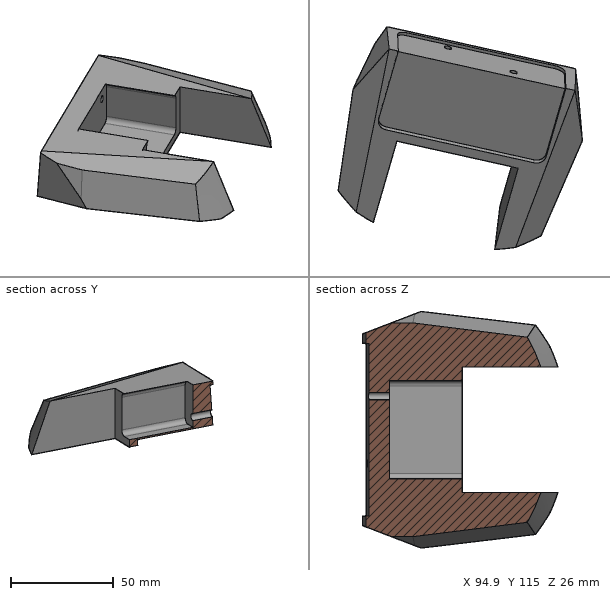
import cadquery as cq
import math

length = 94.9
half_width = 57.5
height = 26.0
oversize = 229.9

rear_lean = 2.0
rear_half_width = 46.5
rear_top_half_width = 46.1

cone_center_x = 1.1
arm_top_x = 84.7
arm_inner_y = 30.3

notch_x = 48.5
pocket_x = 13.2
pocket_half_width = 23.7
pocket_floor_z = 4.0
pocket_fillet = 2.5
pocket_rise = 0.01

recess_half_width = 42.0
recess_depth = 1.6
recess_top_z = 23.9
recess_radius = 4.8
cavity_height = 3.0
cavity_end_x = 43.7

hole_diameter = 3.5
hole_y = 16.3
upper_hole_z = 20.7
lower_hole_z = 9.2

rear_bottom = cq.Vector(0, rear_half_width, 0)
widest = cq.Vector(28.5, half_width, 4.6)
front_low = cq.Vector(84.4, 50.8, 3.7)
front_high = cq.Vector(80.5, 44.9, 20.8)
ridge_low = cq.Vector(25.2, 56.3, 8.7)
ridge_high = cq.Vector(24.8, 51.4, 22.4)
rear_high = cq.Vector(11.6, 50.9, 23.5)
rear_top = cq.Vector(rear_lean, rear_top_half_width, height)
arm_top = cq.Vector(arm_top_x, arm_inner_y, height)


def outer_block(first, second, third):
    """Large block outside the plane of three points, on the +Y side."""
    normal = (second - first).cross(third - first)
    if normal.y < 0:
        normal = normal * -1
    plane = cq.Plane(origin=first.toTuple(), normal=normal.toTuple())
    return cq.Workplane(plane).rect(2 * oversize, 2 * oversize).extrude(oversize)


def make_cone():
    bottom_radius = math.hypot(length - cone_center_x, arm_inner_y)
    top_radius = math.hypot(arm_top_x - cone_center_x, arm_inner_y)
    profile = [(0, 0), (bottom_radius, 0), (top_radius, height), (0, height)]
    cone = cq.Workplane("XZ").polyline(profile).close().revolve(360, (0, 0), (0, 1))
    return cone.translate((cone_center_x, 0, 0))


def make_lean_envelope():
    """Everything ahead of the leaning rear face."""
    points = [(0, 0), (oversize, 0), (oversize, height), (rear_lean, height)]
    return cq.Workplane("XZ").polyline(points).close().extrude(oversize, both=True)


def trim_flanks(body):
    facets = [
        (rear_bottom, widest, widest + cq.Vector(0, 0, 1.1)),
        (rear_top, arm_top, front_high),
        (widest, front_low, front_high),
        (rear_high, ridge_high, ridge_low),
        (rear_bottom, widest, front_low),
    ]
    for facet in facets:
        block = outer_block(*facet)
        body = body.cut(block).cut(block.mirror("XZ"))
    return body


def make_notch():
    return cq.Workplane("XY").box(
        oversize, 2 * arm_inner_y, height, centered=(False, True, False)
    ).translate((notch_x, 0, 0))


def make_pocket():
    pocket_height = height + pocket_rise - pocket_floor_z
    pocket = cq.Workplane("XY").box(
        notch_x, 2 * pocket_half_width, pocket_height, centered=(False, True, False)
    )
    pocket = pocket.edges("|X").fillet(pocket_fillet)
    return pocket.translate((pocket_x, 0, pocket_floor_z))


def make_rear_recess():
    outline = (
        cq.Workplane("YZ")
        .rect(2 * recess_half_width, 2 * recess_top_z)
        .extrude(recess_depth + rear_lean)
        .edges("|X and >Z")
        .fillet(recess_radius)
    )
    panel_side = [
        (-oversize, 0),
        (recess_depth, 0),
        (recess_depth + rear_lean, height),
        (-oversize, height),
    ]
    behind_panel = cq.Workplane("XZ").polyline(panel_side).close().extrude(oversize, both=True)
    return outline.intersect(behind_panel)


def make_cavity():
    cavity = cq.Workplane("XY").box(
        cavity_end_x, 2 * recess_half_width, cavity_height, centered=(False, True, False)
    )
    return cavity.edges("|Z and >X").fillet(recess_radius)


def make_holes():
    centers = [(hole_y, upper_hole_z), (-hole_y, lower_hole_z)]
    return cq.Workplane("YZ").pushPoints(centers).circle(hole_diameter / 2).extrude(notch_x)


body = trim_flanks(make_cone().intersect(make_lean_envelope()))
for void in (make_notch(), make_pocket(), make_rear_recess(), make_cavity(), make_holes()):
    body = body.cut(void)

result = body